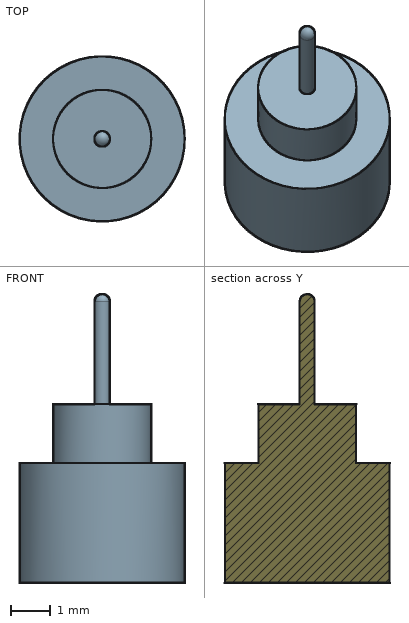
import cadquery as cq

total_height = 7.35
base_diameter = 4.205
base_height = 3.05
neck_diameter = 2.5
neck_height = 1.5
pin_diameter = 0.4

pin_radius = pin_diameter / 2
neck_top = base_height + neck_height
pin_height = total_height - neck_top

base = cq.Workplane("XY").circle(base_diameter / 2).extrude(base_height)
neck = cq.Workplane("XY").workplane(offset=base_height).circle(neck_diameter / 2).extrude(neck_height)

pin_shaft = cq.Workplane("XY").workplane(offset=neck_top).circle(pin_radius).extrude(pin_height - pin_radius)
pin_tip = cq.Workplane("XY").sphere(pin_radius).translate((0, 0, total_height - pin_radius))

result = base.union(neck).union(pin_shaft).union(pin_tip)